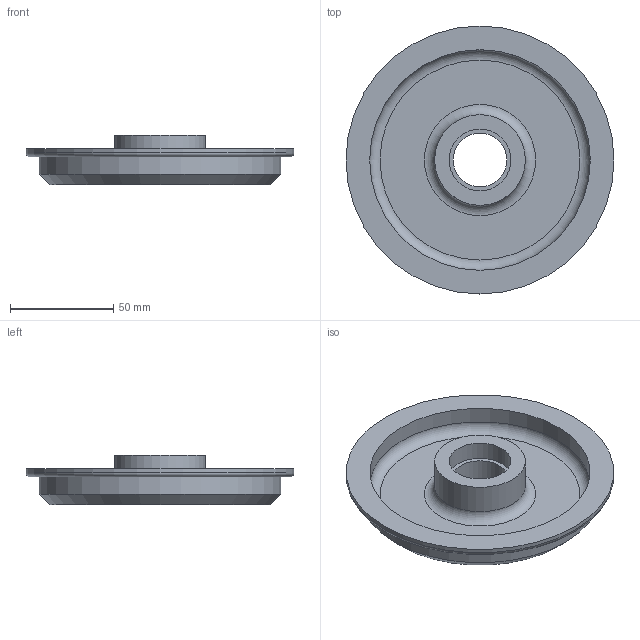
import cadquery as cq

total_height = 24.0

flange_diameter = 130.0
flange_top = 17.5
flange_thickness = 4.0
flange_edge_radius = 2.0

body_diameter = 117.0
body_chamfer = 5.0

recess_diameter = 107.0
floor_thickness = 4.5
floor_fillet = 5.0

hub_diameter = 44.0
bore_diameter = 26.0
counterbore_diameter = 30.0
counterbore_depth = 9.0

flange_bottom = flange_top - flange_thickness


def disc(diameter, bottom, top):
    """Solid cylinder on the Z axis between two heights."""
    return cq.Workplane("XY").workplane(offset=bottom).circle(diameter / 2).extrude(top - bottom)


def make_body():
    """Plain drum with a bevelled bottom edge."""
    return disc(body_diameter, 0, flange_top).faces("<Z").edges().chamfer(body_chamfer)


def make_flange():
    """Outer flange, rounded along its lower edge."""
    flange = disc(flange_diameter, flange_bottom, flange_top)
    return flange.faces("<Z").edges().fillet(flange_edge_radius)


def make_recess():
    """Ring-shaped pocket around the hub, with both lower corners of the pocket rounded."""
    recess = disc(recess_diameter, floor_thickness, flange_top)
    recess = recess.cut(disc(hub_diameter, floor_thickness, flange_top))
    return recess.faces("<Z").edges().fillet(floor_fillet)


def make_bore():
    """Through bore with a counterbore opening at the top of the hub."""
    bore = disc(bore_diameter, 0, total_height)
    return bore.union(disc(counterbore_diameter, total_height - counterbore_depth, total_height))


hub = disc(hub_diameter, 0, total_height)
result = make_body().union(make_flange()).cut(make_recess()).union(hub).cut(make_bore())